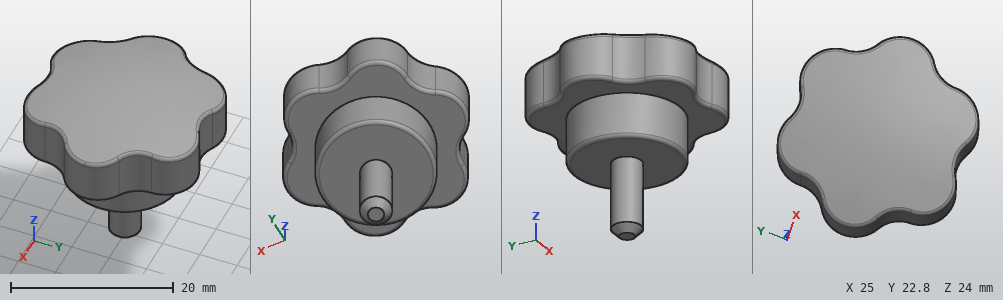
import cadquery as cq
import math

LOBES = 6
HEAD_RADIUS = 12.5
LOBE_RADIUS = 4.25
LOBE_CENTRE = HEAD_RADIUS - LOBE_RADIUS
VALLEY_RADIUS = LOBE_CENTRE - LOBE_RADIUS
VALLEY_CENTRE = 2 * LOBE_CENTRE * math.cos(math.pi / LOBES)
VALLEY_DEPTH_RADIUS = VALLEY_CENTRE - VALLEY_RADIUS

TOTAL_HEIGHT = 24.0
HEAD_BASE = 16.0
DOME_RADIUS = 40.0
HEAD_FILLET = 0.5

HUB_DIAMETER = 15.0
HUB_BASE = 10.0
HUB_FILLET = 0.5

STUD_DIAMETER = 4.0
STUD_CHAMFER = 1.0


def polar(radius, angle):
    return (radius * math.cos(angle), radius * math.sin(angle))


def lobed_outline():
    """Alternate convex lobes and concave valleys, starting on the +X lobe."""
    pitch = 2 * math.pi / LOBES
    join_x = LOBE_CENTRE + LOBE_RADIUS * math.cos(pitch)
    join_y = LOBE_RADIUS * math.sin(pitch)
    join_radius = math.hypot(join_x, join_y)
    join_angle = math.atan2(join_y, join_x)

    outline = cq.Workplane("XY").workplane(offset=HEAD_BASE)
    outline = outline.moveTo(*polar(join_radius, -join_angle))
    for index in range(LOBES):
        axis = index * pitch
        outline = outline.threePointArc(
            polar(HEAD_RADIUS, axis), polar(join_radius, axis + join_angle)
        )
        outline = outline.threePointArc(
            polar(VALLEY_DEPTH_RADIUS, axis + pitch / 2),
            polar(join_radius, axis + pitch - join_angle),
        )
    return outline.close()


def make_head():
    prism = lobed_outline().extrude(TOTAL_HEIGHT - HEAD_BASE)
    dome = cq.Workplane("XY").sphere(DOME_RADIUS).translate((0, 0, TOTAL_HEIGHT - DOME_RADIUS))
    head = prism.intersect(dome)
    head = head.faces("<Z").edges().fillet(HEAD_FILLET)
    return head.faces(">Z").edges("not %CIRCLE").fillet(HEAD_FILLET)


def make_hub():
    hub = cq.Workplane("XY").workplane(offset=HUB_BASE)
    hub = hub.circle(HUB_DIAMETER / 2).extrude(HEAD_BASE - HUB_BASE)
    return hub.faces("<Z").edges().fillet(HUB_FILLET)


def make_stud():
    stud = cq.Workplane("XY").circle(STUD_DIAMETER / 2).extrude(HUB_BASE)
    return stud.faces("<Z").chamfer(STUD_CHAMFER)


result = make_head().union(make_hub()).union(make_stud())